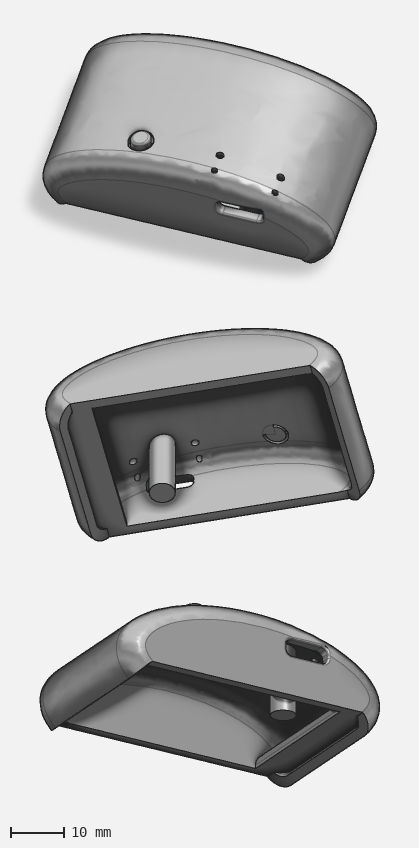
import cadquery as cq
import math

half_width = 57.15 / 2
height = 13.5
length = 34.8
end_fillet = 4.0
wall = 2.0
cavity_fillet = 3.0
joint = wall / 2
front_y = -length / 2

normal_scale = math.hypot(half_width, height)
tip_x = half_width**2 / normal_scale
tip_z = -(height**2) / normal_scale
rim_z = -3.03
rim_x = tip_x - (rim_z - tip_z)

connector_x = 11.0
slot_z = 6.83
slot_width = 9.1
slot_height = 3.4
slot_corner = 1.25
slot_fillet = 0.4
rim_depth = 0.5
slot_depth = 5.0
boss_diameter = 4.9
boss_y = -8.5

rail_x = 19.3
rail_face = 0.7
rail_round = 2.45

light_spacing = 11.9
light_rows = [
    (-10.2, 1.45),
    (-13.9, 1.1),
]

button_x = -10.35
button_y = -10.65
opening_diameter = 4.9
button_diameter = 3.9
button_rise = 1.11
button_edge = 0.5
web_drop = 0.4


def elliptical_tunnel(inset):
    """Square-ended elliptical cylinder along Y, inset from the outer surface of the shell."""
    depth = length - 2 * inset
    profile = cq.Workplane("XZ", origin=(0, depth / 2, 0)).ellipse(half_width - inset, height - inset)
    return profile.extrude(depth)


def rounded_tunnel(inset, fillet):
    """Elliptical cylinder along Y with rounded ends."""
    return elliptical_tunnel(inset).faces("<Y or >Y").edges().fillet(fillet)


def upright_cylinder(x, y, diameter, bottom=0.0):
    """Vertical cylinder that reaches from the given bottom to well above the roof."""
    top = 2 * height
    return cq.Workplane("XY", origin=(x, y, bottom)).circle(diameter / 2).extrude(top - bottom)


def bottom_opening():
    """Everything under the flat end walls and between the 45 degree lip ends."""
    drop = height + rim_z
    points = [
        (-rim_x, rim_z),
        (rim_x, rim_z),
        (rim_x + drop, rim_z - drop),
        (-rim_x - drop, rim_z - drop),
    ]
    return cq.Workplane("XZ").polyline(points).close().extrude(length, both=True)


def cut_connector_slot(body):
    """Cut the rounded slot through the front end wall and round its outer rim."""
    slot = cq.Workplane("XZ", origin=(connector_x, front_y + slot_depth, slot_z))
    slot = slot.rect(slot_width, slot_height).extrude(2 * slot_depth)
    slot = slot.edges("|Y").fillet(slot_corner)
    body = body.cut(slot)
    rim = cq.selectors.BoxSelector(
        (connector_x - slot_width, front_y - wall, slot_z - slot_height),
        (connector_x + slot_width, front_y + rim_depth, slot_z + slot_height),
    )
    return body.edges(rim).fillet(slot_fillet)


def side_rail():
    """Rail along the right side wall whose inner top edge is fully rounded."""
    face_top = rim_z + rail_face
    top = face_top + rail_round
    rail_length = length - wall
    profile = (
        cq.Workplane("XZ", origin=(0, rail_length / 2, 0))
        .moveTo(rail_x, rim_z)
        .lineTo(rail_x, face_top)
        .radiusArc((rail_x + rail_round, top), rail_round)
        .lineTo(half_width, top)
        .lineTo(half_width, rim_z)
        .close()
    )
    return profile.extrude(rail_length).intersect(rounded_tunnel(joint, cavity_fillet))


def cut_light_holes(body):
    for y, diameter in light_rows:
        for side in (-1, 1):
            body = body.cut(upright_cylinder(connector_x + side * light_spacing / 2, y, diameter))
    return body


def connector_boss():
    """Round post from the roof down to the rim, ending within the wall."""
    post = upright_cylinder(connector_x, boss_y, boss_diameter, rim_z)
    return post.intersect(rounded_tunnel(joint, cavity_fillet))


def button():
    """Round button whose top runs parallel to the roof, with a rounded top edge."""
    post = upright_cylinder(button_x, button_y, button_diameter)
    post = post.intersect(elliptical_tunnel(-button_rise)).cut(elliptical_tunnel(wall))
    return post.faces(">Z").edges().fillet(button_edge)


def button_web():
    """Quarter of the ring around the button, sunk below the roof surface."""
    reach = opening_diameter / 2 + joint / 2
    quarter = cq.Workplane("XY", origin=(button_x, button_y, 0))
    quarter = quarter.rect(reach, reach, centered=False).extrude(height)
    ring = upright_cylinder(button_x, button_y, 2 * reach).intersect(quarter)
    return ring.intersect(elliptical_tunnel(web_drop)).cut(elliptical_tunnel(wall))


shell = rounded_tunnel(0, end_fillet).cut(rounded_tunnel(wall, cavity_fillet)).cut(bottom_opening())
shell = cut_connector_slot(shell)
shell = shell.union(connector_boss())
shell = shell.union(side_rail())
shell = cut_light_holes(shell)
shell = shell.cut(upright_cylinder(button_x, button_y, opening_diameter))
result = shell.union(button_web()).union(button())